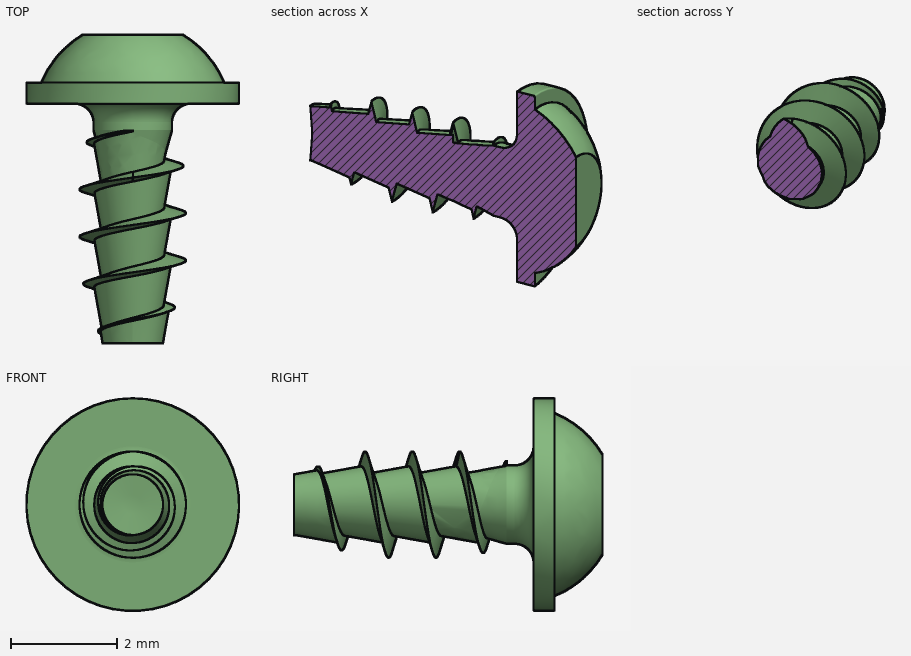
import cadquery as cq
import math


flange_radius = 2.0
flange_thickness = 0.4
flange_edge_radius = 0.03
head_height = 1.3
dome_base_radius = 1.72
dome_top_radius = 0.94
dome_sphere_radius = 1.86

shank_radius = 0.74
underhead_fillet = 0.35
shank_length = 0.5
lead_in_end = 1.05
screw_length = 4.5

core_min_radius = 0.585
core_step_radius = 0.735
core_taper = 0.18
tip_radius = 0.57
core_overlap = 0.1
taper_sink = 0.005
core_lead_turns = 1

pitch = 0.89
lead_in_turns = 1
full_turns = 2
run_out_turns = 1.5
ridge_turns = lead_in_turns + full_turns + run_out_turns
ridge_start = screw_length - ridge_turns * pitch
ridge_start_radius = 0.82
ridge_radius = 1.0
ridge_end_radius = 0.58
ridge_angle = 30.0
ridge_depth = 0.5

dish_radius = 0.535
dish_depth = 0.04


def revolved(points):
    """Solid of revolution about Z from a closed outline of (radius, z) points."""
    return cq.Workplane("XZ").polyline(points).close().revolve(360, (0, 0), (0, 1))


def helical_sweep(outline, start_z, turns, start_radius, end_radius):
    """Sweep a closed (radius, z) outline along a right-handed helix that may widen or narrow."""
    rise = turns * pitch
    cone_angle = math.atan2(end_radius - start_radius, rise)
    cylindrical_helix = 360
    slant = 1 / math.cos(cone_angle)
    helix = cq.Wire.makeHelix(
        pitch * slant,
        rise * slant,
        start_radius,
        center=cq.Vector(0, 0, start_z),
        angle=math.degrees(cone_angle) or cylindrical_helix,
    )
    profile = cq.Workplane("XZ").polyline(outline).close()
    return profile.sweep(cq.Workplane(helix), isFrenet=True)


def make_head():
    top_z = -head_height
    flange_top_z = -flange_thickness
    sphere_z = flange_top_z + math.sqrt(dome_sphere_radius**2 - dome_base_radius**2)
    middle_z = (top_z + flange_top_z) / 2
    middle_radius = math.sqrt(dome_sphere_radius**2 - (middle_z - sphere_z) ** 2)
    dome = (
        cq.Workplane("XZ")
        .moveTo(0, flange_top_z)
        .lineTo(0, top_z)
        .lineTo(dome_top_radius, top_z)
        .threePointArc((middle_radius, middle_z), (dome_base_radius, flange_top_z))
        .close()
        .revolve(360, (0, 0), (0, 1))
    )
    flange = (
        cq.Workplane("XY")
        .workplane(offset=flange_top_z)
        .circle(flange_radius)
        .extrude(flange_thickness)
        .edges()
        .fillet(flange_edge_radius)
    )
    return flange.union(dome)


def make_shank():
    return (
        cq.Workplane("XZ")
        .moveTo(0, 0)
        .lineTo(shank_radius + underhead_fillet, 0)
        .radiusArc((shank_radius, underhead_fillet), underhead_fillet)
        .lineTo(shank_radius, shank_length)
        .lineTo(core_min_radius, lead_in_end)
        .lineTo(0, lead_in_end)
        .close()
        .revolve(360, (0, 0), (0, 1))
    )


def make_core():
    inner_radius = core_min_radius - core_overlap
    start_z = ridge_start - core_lead_turns * pitch
    taper_end_radius = core_min_radius - taper_sink
    taper_length = (core_step_radius - taper_end_radius) / core_taper
    outline = [
        (inner_radius, start_z),
        (core_step_radius, start_z),
        (taper_end_radius, start_z + taper_length),
        (inner_radius, start_z + taper_length),
    ]
    turns = ridge_turns + core_lead_turns
    tapers = helical_sweep(outline, start_z, turns, core_step_radius, core_step_radius)
    plain_core = cq.Workplane("XY").circle(core_min_radius).extrude(screw_length)
    tip_cone = revolved([
        (0, 0),
        (tip_radius + core_taper * screw_length, 0),
        (tip_radius, screw_length),
        (0, screw_length),
    ])
    return plain_core.union(tapers).intersect(tip_cone)


def make_ridge_pieces():
    half_width = ridge_depth * math.tan(math.radians(ridge_angle / 2))
    stages = [
        (lead_in_turns, ridge_start_radius, ridge_radius),
        (full_turns, ridge_radius, ridge_radius),
        (run_out_turns, ridge_radius, ridge_end_radius),
    ]
    threaded_length = (
        cq.Workplane("XY")
        .workplane(offset=shank_length)
        .circle(flange_radius)
        .extrude(screw_length - shank_length)
    )
    pieces = []
    z = ridge_start
    for turns, start_radius, end_radius in stages:
        outline = [
            (start_radius, z),
            (start_radius - ridge_depth, z - half_width),
            (start_radius - ridge_depth, z + half_width),
        ]
        piece = helical_sweep(outline, z, turns, start_radius, end_radius)
        pieces.append(piece.intersect(threaded_length))
        z += turns * pitch
    return pieces


def make_tip_dish():
    return revolved([
        (0, screw_length - dish_depth),
        (dish_radius, screw_length),
        (0, screw_length),
    ])


screw = make_head().union(make_shank()).union(make_core())
for ridge_piece in make_ridge_pieces():
    screw = screw.union(ridge_piece)
screw = screw.cut(make_tip_dish())

placement = cq.Plane(origin=(0, 0, 0), xDir=(0, 0, 1), normal=(0, -1, 0))
result = cq.Workplane("XY").newObject([screw.val().moved(cq.Location(placement))])